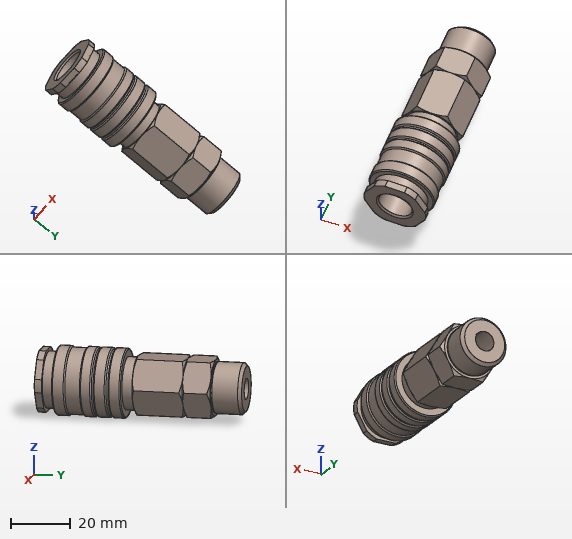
import cadquery as cq
import math

LENGTH = 70.0

FLANGE_END = 2.45
FLANGE_RADIUS = 11.05
FLANGE_ACROSS_FLATS = 21.0

FRONT_NECK_RADIUS = 9.6
SLEEVE_START = 5.95
SLEEVE_END = 29.5
SLEEVE_RADIUS = 11.75
SLEEVE_CHAMFER = 0.4
BACK_NECK_RADIUS = 8.95

GROOVE_DEPTH = 0.5
SLEEVE_GROOVES = [
    (10.0, 15.95),
    (19.05, 20.6),
    (24.0, 25.6),
]

HEX_ACROSS_FLATS = 19.05
HEX_CHAMFER_ANGLE = 30.0
HEX_FACE_RADIUS = HEX_ACROSS_FLATS / 2
CHAMFER_CONE_WIDTH = 2.8
LONG_HEX_START = 33.0
SHORT_HEX_START = 50.1
HEX_END = 59.65

SPIGOT_RADIUS = 8.75
SPIGOT_CHAMFER = 1.1
RELIEF_DEPTH = 0.2
RELIEF_WIDTH = 0.4

SOCKET_RADIUS = 6.0
SOCKET_CHAMFER = 0.6
SOCKET_DEPTH = SLEEVE_END
THROUGH_RADIUS = 3.5


def revolve_profile(points):
    """Revolve a closed (radius, y) outline about the Y axis."""
    return cq.Workplane("XY").polyline(points).close().revolve(360, (0, 0), (0, 1))


def cylinder(start, end, radius):
    """Solid cylinder along Y."""
    return revolve_profile([(0, start), (radius, start), (radius, end), (0, end)])


def hex_bar(start, end, across_flats):
    """Hexagonal bar along Y with flats facing up and down."""
    corner_diameter = across_flats / math.cos(math.radians(30))
    return (
        cq.Workplane("XZ", origin=(0, start, 0))
        .polygon(6, corner_diameter)
        .extrude(start - end)
    )


def chamfered_hex(start, end):
    """Hexagonal bar whose corners are turned off by a shallow cone at both ends."""
    outer_radius = HEX_FACE_RADIUS + CHAMFER_CONE_WIDTH
    drop = CHAMFER_CONE_WIDTH * math.tan(math.radians(HEX_CHAMFER_ANGLE))
    envelope = revolve_profile([
        (0, start),
        (HEX_FACE_RADIUS, start),
        (outer_radius, start + drop),
        (outer_radius, end - drop),
        (HEX_FACE_RADIUS, end),
        (0, end),
    ])
    return hex_bar(start, end, HEX_ACROSS_FLATS).intersect(envelope)


def flange():
    disc = cylinder(0, FLANGE_END, FLANGE_RADIUS)
    return disc.intersect(hex_bar(0, FLANGE_END, FLANGE_ACROSS_FLATS))


def sleeve():
    edge_radius = SLEEVE_RADIUS - SLEEVE_CHAMFER
    points = [
        (0, SLEEVE_START),
        (edge_radius, SLEEVE_START),
        (SLEEVE_RADIUS, SLEEVE_START + SLEEVE_CHAMFER),
    ]
    floor_radius = SLEEVE_RADIUS - GROOVE_DEPTH
    for start, end in SLEEVE_GROOVES:
        points += [
            (SLEEVE_RADIUS, start),
            (floor_radius, start + GROOVE_DEPTH),
            (floor_radius, end - GROOVE_DEPTH),
            (SLEEVE_RADIUS, end),
        ]
    points += [
        (SLEEVE_RADIUS, SLEEVE_END - SLEEVE_CHAMFER),
        (edge_radius, SLEEVE_END),
        (0, SLEEVE_END),
    ]
    return revolve_profile(points)


def spigot():
    root_radius = SPIGOT_RADIUS - RELIEF_DEPTH
    relief_end = HEX_END + RELIEF_WIDTH
    return revolve_profile([
        (0, HEX_END),
        (root_radius, HEX_END),
        (root_radius, relief_end),
        (SPIGOT_RADIUS, relief_end),
        (SPIGOT_RADIUS, LENGTH - SPIGOT_CHAMFER),
        (SPIGOT_RADIUS - SPIGOT_CHAMFER, LENGTH),
        (0, LENGTH),
    ])


def bore():
    """Chamfered plug socket from the mouth, continued by a through hole."""
    return revolve_profile([
        (0, 0),
        (SOCKET_RADIUS + SOCKET_CHAMFER, 0),
        (SOCKET_RADIUS, SOCKET_CHAMFER),
        (SOCKET_RADIUS, SOCKET_DEPTH),
        (THROUGH_RADIUS, SOCKET_DEPTH),
        (THROUGH_RADIUS, LENGTH),
        (0, LENGTH),
    ])


result = (
    flange()
    .union(cylinder(FLANGE_END, SLEEVE_START, FRONT_NECK_RADIUS))
    .union(sleeve())
    .union(cylinder(SLEEVE_END, LONG_HEX_START, BACK_NECK_RADIUS))
    .union(chamfered_hex(LONG_HEX_START, SHORT_HEX_START))
    .union(chamfered_hex(SHORT_HEX_START, HEX_END))
    .union(spigot())
    .cut(bore())
)